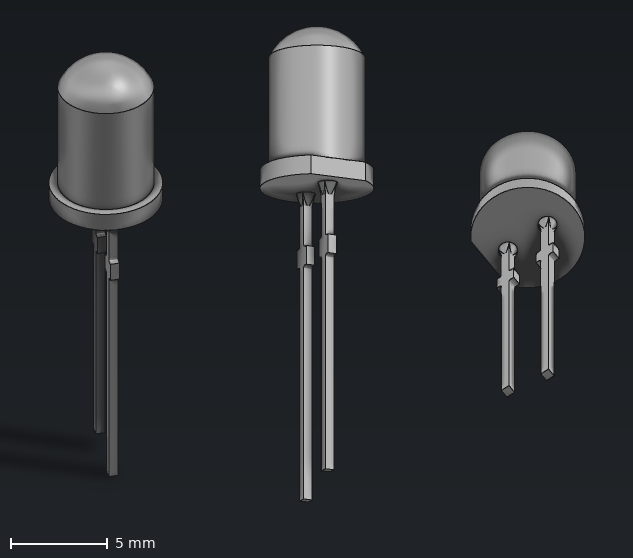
import cadquery as cq
import math

body_diameter = 5.0
body_radius = body_diameter / 2
flange_diameter = 5.9
flange_radius = flange_diameter / 2
flange_thickness = 1.0
overall_height = 25.0
lens_height = 8.6
dome_height = 1.6
dome_base_z = lens_height - dome_height
dome_radius = (body_radius**2 + dome_height**2) / (2 * dome_height)

lead_pitch = 2.54
lead_width = 0.5
lead_length_difference = 1.0
long_lead_length = overall_height - lens_height
short_lead_length = long_lead_length - lead_length_difference
stop_width = 1.1
stop_height = 1.0
stop_top_z = -2.9
stop_bottom_z = stop_top_z - stop_height
stop_fillet = 0.15

collar_top_radius = 0.5
collar_height = 0.7


def make_flange():
    """Disc with a flat on its -X side, tangent to the cylindrical body."""
    disc = cq.Workplane("XY").circle(flange_radius).extrude(flange_thickness)
    kept_side = (
        cq.Workplane("XY")
        .box(
            body_radius + flange_radius,
            flange_diameter,
            flange_thickness,
            centered=(False, True, False),
        )
        .translate((-body_radius, 0, 0))
    )
    return disc.intersect(kept_side)


def make_body():
    """Cylinder with a spherical cap, starting at the flange underside."""
    mid_angle = math.asin(body_radius / dome_radius) / 2
    dome_center_z = lens_height - dome_radius
    dome_mid_point = (
        dome_radius * math.sin(mid_angle),
        dome_center_z + dome_radius * math.cos(mid_angle),
    )
    return (
        cq.Workplane("XZ")
        .lineTo(body_radius, 0)
        .lineTo(body_radius, dome_base_z)
        .threePointArc(dome_mid_point, (0, lens_height))
        .close()
        .revolve()
    )


def make_pin(length):
    """Square wire hanging from Z = 0, with a stop filleted into its sides."""
    wire = cq.Workplane("XY").rect(lead_width, lead_width).extrude(-length)
    stop = (
        cq.Workplane("XY")
        .workplane(offset=stop_top_z)
        .rect(stop_width, lead_width)
        .extrude(-stop_height)
    )
    zone_half_width = (lead_width + stop_width) / 4
    inner_corners = cq.selectors.BoxSelector(
        (-zone_half_width, -lead_width, stop_bottom_z - stop_fillet),
        (zone_half_width, lead_width, stop_top_z + stop_fillet),
    )
    return wire.union(stop).edges("|Y").edges(inner_corners).fillet(stop_fillet)


def make_collar():
    """Cone joined with a square taper whose top corners lie on the cone's rim."""
    cone = cq.Workplane(
        cq.Solid.makeCone(
            collar_top_radius,
            lead_width / 2,
            collar_height,
            dir=cq.Vector(0, 0, -1),
        )
    )
    taper_top_width = collar_top_radius * math.sqrt(2)
    taper = (
        cq.Workplane("XY")
        .rect(taper_top_width, taper_top_width)
        .workplane(offset=-collar_height)
        .rect(lead_width, lead_width)
        .loft(ruled=True)
    )
    return cone.union(taper)


def make_lead(x, length):
    """Wire with stop and collar, centred at the given X."""
    return make_pin(length).union(make_collar()).translate((x, 0, 0))


result = make_flange().union(make_body())
for side, lead_length in ((-1, short_lead_length), (1, long_lead_length)):
    result = result.union(make_lead(side * lead_pitch / 2, lead_length))